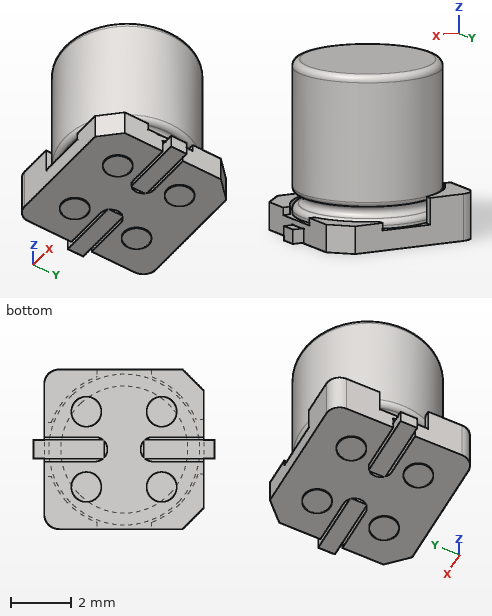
import cadquery as cq


length = 6.0
base_side = 5.3
can_top = 5.905

left_post_height = 1.6
right_post_height = 0.95
seat_height = 0.69
seat_radius = 2.58
corner_radius = 0.5
corner_chamfer = 0.71
window_width = 1.8
right_window_offset = -0.095

can_radius = 2.5
top_fillet = 0.245
groove_radius = 0.2
groove_height = 1.2

lead_width = 0.625
lead_height = 0.49
lead_gap = 1.295
lead_clearance = 0.095

foot_radius = 0.5
foot_height = 0.05
foot_offset = 1.25


def block(size_x, size_y, bottom, top, center_x=0.0, center_y=0.0):
    """Upright box between two heights."""
    return (
        cq.Workplane("XY", origin=(center_x, center_y, bottom))
        .rect(size_x, size_y)
        .extrude(top - bottom)
    )


def make_base():
    """Base plate with four posts around a round seat for the can."""
    half_side = base_side / 2
    base = block(base_side, base_side, 0, left_post_height)
    base = base.edges("|Z and <X").fillet(corner_radius)
    base = base.edges("|Z and >X").chamfer(corner_chamfer)

    base = base.cut(block(half_side, base_side, right_post_height, left_post_height, half_side / 2))

    seat = (
        cq.Workplane("XY", origin=(0, 0, seat_height))
        .circle(seat_radius)
        .extrude(left_post_height - seat_height)
    )
    y_windows = block(window_width, base_side, seat_height, left_post_height)
    left_window = block(half_side, window_width, seat_height, left_post_height, -half_side / 2)
    right_window = block(
        half_side, window_width, seat_height, left_post_height, half_side / 2, right_window_offset
    )
    return base.cut(seat).cut(y_windows).cut(left_window).cut(right_window)


def make_can():
    """Revolved can with a rounded top rim and a groove blended by rounded shoulders."""
    shoulder_center = can_radius - groove_radius
    upper_shoulder = groove_height + 2 * groove_radius
    lower_shoulder = groove_height - 2 * groove_radius
    return (
        cq.Workplane("XZ")
        .moveTo(0, seat_height)
        .lineTo(can_radius, seat_height)
        .lineTo(can_radius, lower_shoulder)
        .radiusArc((shoulder_center, groove_height - groove_radius), -groove_radius)
        .threePointArc(
            (shoulder_center - groove_radius, groove_height),
            (shoulder_center, groove_height + groove_radius),
        )
        .radiusArc((can_radius, upper_shoulder), -groove_radius)
        .lineTo(can_radius, can_top - top_fillet)
        .radiusArc((can_radius - top_fillet, can_top), -top_fillet)
        .lineTo(0, can_top)
        .close()
        .revolve(360, (0, 0, 0), (0, 1, 0))
    )


def make_lead_slot(side):
    """Slot in the underside, open at the base edge and with a round inner end."""
    slot_width = lead_width + 2 * lead_clearance
    round_center = lead_gap / 2 - lead_clearance + slot_width / 2
    straight_length = base_side / 2 - round_center
    middle = side * (round_center + straight_length / 2)
    straight = block(straight_length, slot_width, 0, lead_height, middle)
    round_end = (
        cq.Workplane("XY", origin=(side * round_center, 0, 0))
        .circle(slot_width / 2)
        .extrude(lead_height)
    )
    return straight.union(round_end)


def make_lead(side):
    """Flat lead lying in its slot and reaching past the base."""
    lead_length = (length - lead_gap) / 2
    middle = side * (lead_gap + lead_length) / 2
    return block(lead_length, lead_width, 0, lead_height, middle)


def make_feet():
    """Four low round pads under the base."""
    return (
        cq.Workplane("XY")
        .rect(2 * foot_offset, 2 * foot_offset, forConstruction=True)
        .vertices()
        .circle(foot_radius)
        .extrude(-foot_height)
    )


result = make_base()
for side in (-1, 1):
    result = result.cut(make_lead_slot(side)).union(make_lead(side))
result = result.union(make_can()).union(make_feet())